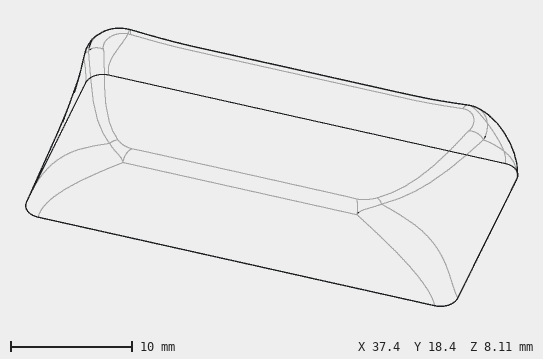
import cadquery as cq
import math

length = 37.38
width = 18.4
base_corner_radius = 1.5

wall_sections = [
    (0.0, width / 2, -width / 2, length / 2, length / 2, base_corner_radius),
    (2.6, 9.0, -9.1, 18.65, 17.55, 1.87),
    (5.25, 8.5, -8.7, 18.7, 15.15, 2.6),
    (7.1, 7.5, -8.3, 18.75, 12.15, 2.6),
    (8.97, 5.83, -7.75, 18.5, 8.8, 2.6),
]

dish_floor = 6.43
dish_low_y = 2.0
dish_radius = 28.4
flat_half_length = 9.5
horn_x = 16.45
horn_rise = 1.72
cutter_margin = 1.87
cutter_height = 7.48
grid_steps_x = 48
grid_steps_y = 16

rim_radius = 0.95


def wall_section(height, back_y, front_y, back_half, front_half, radius):
    """Rounded trapezoid, symmetric about the YZ plane."""
    corners = [
        (-front_half, front_y),
        (front_half, front_y),
        (back_half, back_y),
        (-back_half, back_y),
    ]
    outline = cq.Wire.makePolygon([cq.Vector(x, y, height) for x, y in corners], close=True)
    return outline.fillet2D(radius, outline.Vertices())


def dish_height(x, y):
    """Circular trough along X that rises parabolically towards both ends."""
    trough = dish_radius - math.sqrt(dish_radius**2 - (y - dish_low_y) ** 2)
    past_flat = max(0.0, abs(x) - flat_half_length)
    rise = horn_rise * (past_flat / (horn_x - flat_half_length)) ** 2
    return dish_floor + trough + rise


def dish_cutter():
    """Solid standing on the dished surface."""
    half_x = length / 2 + cutter_margin
    half_y = width / 2 + cutter_margin
    points = []
    for i in range(grid_steps_x + 1):
        x = half_x * (2 * i / grid_steps_x - 1)
        row = []
        for j in range(grid_steps_y + 1):
            y = half_y * (2 * j / grid_steps_y - 1)
            row.append(cq.Vector(x, y, dish_height(x, y)))
        points.append(row)
    surface = cq.Face.makeSplineApprox(points, tol=0.02, minDeg=3, maxDeg=5)
    return cq.Solid.extrudeLinear(surface, cq.Vector(0, 0, cutter_height))


body = cq.Solid.makeLoft([wall_section(*section) for section in wall_sections])
dished = cq.Workplane(body).cut(cq.Workplane(dish_cutter()))

dish_face = dished.faces(cq.selectors.NearestToPointSelector((0, 0, dish_floor)))
result = dish_face.edges().fillet(rim_radius)